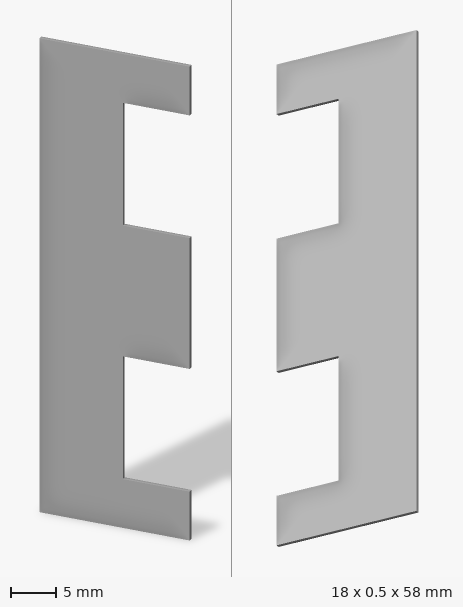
import cadquery as cq

height = 58.0
width = 18.0
thickness = 0.5

notch_depth = 8.0
notch_height = 15.0
middle_tab_height = 16.0
notch_offset = (middle_tab_height + notch_height) / 2


def make_plate():
    """Plain rectangular plate centred on the origin."""
    return cq.Workplane("XY").box(width, thickness, height)


def make_notch(center_z):
    """Rectangular cutter flush with the +X edge, through the thickness."""
    center_x = (width - notch_depth) / 2
    cutter = cq.Workplane("XY").box(notch_depth, thickness, notch_height)
    return cutter.translate((center_x, 0, center_z))


result = make_plate()
for side in (-1, 1):
    result = result.cut(make_notch(side * notch_offset))